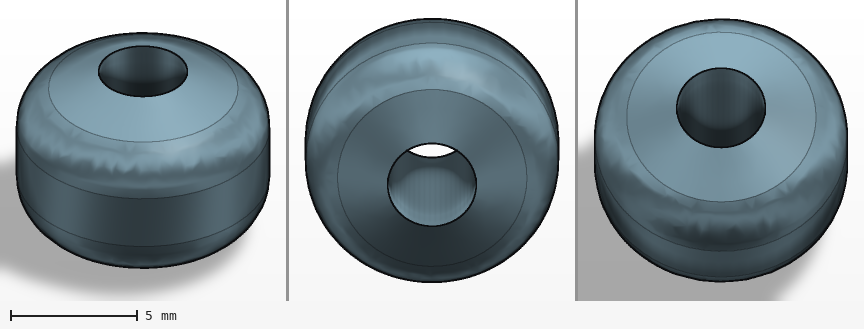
import cadquery as cq

outer_diameter = 10.0
bore_diameter = 3.5
height = 7.6
shoulder_height = 5.0
shoulder_radius = 2.0

outer_radius = outer_diameter / 2
bore_radius = bore_diameter / 2

half_section = (
    cq.Workplane("XZ")
    .moveTo(bore_radius, -height / 2)
    .lineTo(outer_radius, -shoulder_height / 2)
    .lineTo(outer_radius, shoulder_height / 2)
    .lineTo(bore_radius, height / 2)
    .close()
)
body = half_section.revolve(360, (0, 0, 0), (0, 1, 0))

shoulder_edges = cq.selectors.RadiusNthSelector(-1)
result = body.edges(shoulder_edges).fillet(shoulder_radius)